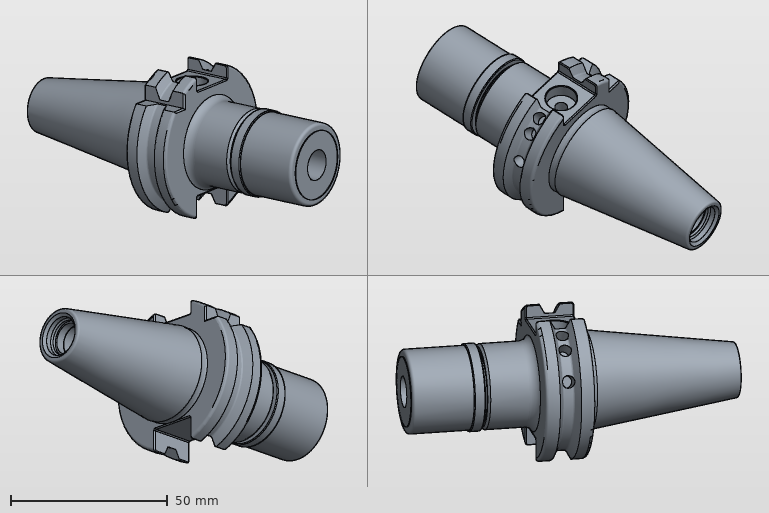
import cadquery as cq
import math


taper_length = 47.8
taper_ratio = 7 / 24 / 2
gauge_radius = 31.75 / 2
taper_overrun = 0.6
small_end_radius = gauge_radius - taper_length * taper_ratio
large_end_radius = gauge_radius + taper_overrun * taper_ratio
small_end_fillet = 0.75

relief_radius = 15.75
relief_start = 1.5
relief_end = 2.55
relief_corner_radius = 15.9

flange_start = 3.2
flange_width = 15.9
flange_end = flange_start + flange_width
flange_radius = 25.0
flange_fillet = 1.0
cut_clearance = 1.0

groove_center = flange_start + 7.9
groove_depth = 3.0
groove_half_width = 3.45
groove_side_angle = 30
groove_fillet = 0.6

slot_half_width = 8.05
upper_slot_floor = 19.0
lower_slot_floor = 16.2
slot_corner_chamfer = 0.4
slot_edge_chamfer = 0.4
notch_side = 15.0
notch_floor = 15.0
notch_edge_chamfer = 0.5

chip_diameter = 10.0
chip_depth = 4.6
chip_edge_chamfer = 0.25
drain_diameter = 4.1

balance_diameter = 4.0
balance_depth = 5.0
balance_angles = (30, 45, 72)

shank_radius = 13.8
shank_start = 22.1
shank_end = 35.7
shank_chamfer = 0.8
shank_root_radius = 3.5
neck_radius = 12.0

bore_radius = 5.0
pull_stud_mouth_radius = 7.4
pull_stud_mouth_depth = 0.9
pull_stud_radius = 6.4
pull_stud_depth = 2.7
lead_in_radius = 5.8
lead_in_start = 3.2
lead_in_end = 4.2
thread_radius = 5.15
thread_end = 7.2

nut_start = 36.55
nut_end = 60.4
nut_radius = 13.6
nut_fillet = 1.0
nut_face_radius = 11.3
nut_face_height = 0.25
collar_radius = 14.1
collar_width = 3.7
collar_chamfer = 0.3


def revolve_about_x(profile):
    return profile.close().revolve(360, (0, 0, 0), (1, 0, 0))


def taper_and_relief():
    taper = (
        cq.Workplane("XY")
        .moveTo(-taper_length, 0)
        .lineTo(-taper_length, small_end_radius)
        .lineTo(taper_overrun, large_end_radius)
        .lineTo(relief_start, relief_radius)
        .lineTo(relief_end, relief_radius)
        .lineTo(flange_start, relief_corner_radius)
        .lineTo(flange_start, 0)
    )
    return revolve_about_x(taper).faces("<X").edges().fillet(small_end_fillet)


def drive_slot(floor, side):
    """Tool for one drive slot; side is +1 above the axis and -1 below it."""
    height = flange_radius + cut_clearance - floor
    tool = (
        cq.Workplane("XY")
        .box(flange_width, 2 * slot_half_width, height, centered=(False, True, False))
        .translate((flange_start, 0, floor))
    )
    tool = tool.edges("|X and <Z").chamfer(slot_corner_chamfer)
    return tool if side > 0 else tool.mirror("XY")


def notch():
    """Tool for the corner notch, flared at both ends to chamfer its edges on the flange faces."""
    size = flange_radius
    center_y = -notch_side - size / 2
    center_z = notch_floor + size / 2
    flared_size = size + 2 * notch_edge_chamfer
    corner = cq.Workplane("YZ").center(center_y, center_z)
    tool = corner.rect(size, size).extrude(flange_width)
    flare = corner.rect(flared_size, flared_size).extrude(notch_edge_chamfer, taper=45)
    far_flare = flare.mirror("YZ").translate((flange_width, 0, 0))
    return tool.union(flare).union(far_flare).translate((flange_start, 0, 0))


def rim_edges(body, y_range, z_range):
    """Select the outer rim of the cut whose faces lie inside the given Y and Z ranges."""
    margin = 0.05
    low_corner = (flange_start - margin, y_range[0] - margin, z_range[0] - margin)
    high_corner = (flange_end + margin, y_range[1] + margin, z_range[1] + margin)
    cut_faces = body.faces(cq.selectors.BoxSelector(low_corner, high_corner, boundingbox=True)).vals()
    all_edges = [edge for face in cut_faces for edge in face.Edges()]
    rim = [edge for edge in all_edges if sum(edge.isSame(other) for other in all_edges) == 1]
    return body.newObject(rim)


def v_groove():
    bottom_half_width = groove_half_width - groove_depth * math.tan(math.radians(groove_side_angle))
    bottom_radius = flange_radius - groove_depth
    outside_radius = flange_radius + cut_clearance
    section = (
        cq.Workplane("XY")
        .moveTo(groove_center - groove_half_width, flange_radius)
        .lineTo(groove_center - bottom_half_width, bottom_radius)
        .lineTo(groove_center + bottom_half_width, bottom_radius)
        .lineTo(groove_center + groove_half_width, flange_radius)
        .lineTo(groove_center + groove_half_width, outside_radius)
        .lineTo(groove_center - groove_half_width, outside_radius)
    )
    floor_edges = cq.selectors.RadiusNthSelector(0)
    return revolve_about_x(section).edges(floor_edges).fillet(groove_fillet)


def balance_holes():
    floor_radius = flange_radius - groove_depth
    holes = cq.Workplane("XY")
    for angle in balance_angles:
        hole = (
            cq.Workplane("XY")
            .circle(balance_diameter / 2)
            .extrude(balance_depth + groove_depth)
            .translate((groove_center, 0, floor_radius - balance_depth))
            .rotate((0, 0, 0), (1, 0, 0), -angle)
        )
        holes = holes.add(hole)
    return holes.combine()


def drive_flange():
    disk = (
        cq.Workplane("YZ")
        .workplane(offset=flange_start)
        .circle(flange_radius)
        .extrude(flange_width)
        .edges()
        .fillet(flange_fillet)
    )
    body = disk.cut(drive_slot(upper_slot_floor, 1)).cut(drive_slot(lower_slot_floor, -1))

    slot_top = math.sqrt(flange_radius**2 - slot_half_width**2)
    slot_sides = (-slot_half_width, slot_half_width)
    for low, high in ((upper_slot_floor, slot_top), (-slot_top, -lower_slot_floor)):
        body = rim_edges(body, slot_sides, (low, high)).chamfer(slot_edge_chamfer)
    return body.cut(notch()).cut(v_groove()).cut(balance_holes())


def shank():
    root_length = shank_start - flange_end
    arc_center_radius = shank_radius + shank_root_radius
    root_start_radius = arc_center_radius - math.sqrt(shank_root_radius**2 - root_length**2)
    half_sweep = math.asin(root_length / shank_root_radius) / 2
    root_mid_x = shank_start - shank_root_radius * math.sin(half_sweep)
    root_mid_radius = arc_center_radius - shank_root_radius * math.cos(half_sweep)
    profile = (
        cq.Workplane("XY")
        .moveTo(flange_end, 0)
        .lineTo(flange_end, root_start_radius)
        .threePointArc((root_mid_x, root_mid_radius), (shank_start, shank_radius))
        .lineTo(shank_end - shank_chamfer, shank_radius)
        .lineTo(shank_end, shank_radius - shank_chamfer)
        .lineTo(shank_end, neck_radius)
        .lineTo(nut_start, neck_radius)
        .lineTo(nut_start, 0)
    )
    return revolve_about_x(profile)


def bore():
    mouth = -taper_length
    profile = (
        cq.Workplane("XY")
        .moveTo(mouth, 0)
        .lineTo(mouth, pull_stud_mouth_radius)
        .lineTo(mouth + pull_stud_mouth_depth, pull_stud_radius)
        .lineTo(mouth + pull_stud_depth, pull_stud_radius)
        .lineTo(mouth + lead_in_start, lead_in_radius)
        .lineTo(mouth + lead_in_end, lead_in_radius)
        .lineTo(mouth + lead_in_end, thread_radius)
        .lineTo(mouth + thread_end, thread_radius)
        .lineTo(mouth + thread_end, bore_radius)
        .lineTo(nut_end, bore_radius)
        .lineTo(nut_end, 0)
    )
    return revolve_about_x(profile)


def chip_pocket():
    mouth = cq.Workplane("XY").workplane(offset=upper_slot_floor).center(groove_center, 0)
    pocket = mouth.circle(chip_diameter / 2).extrude(-chip_depth)
    rim = cq.Solid.makeCone(
        chip_diameter / 2,
        chip_diameter / 2 + chip_edge_chamfer,
        chip_edge_chamfer,
        cq.Vector(groove_center, 0, upper_slot_floor - chip_edge_chamfer),
    )
    drain = mouth.circle(drain_diameter / 2).extrude(-upper_slot_floor)
    return pocket.union(cq.Workplane(rim)).union(drain)


def tool_holder():
    body = taper_and_relief().union(drive_flange()).union(shank())
    return body.cut(chip_pocket()).cut(bore())


def clamping_nut():
    collar_end = nut_start + collar_width
    nut_face = nut_end - nut_face_height
    profile = (
        cq.Workplane("XY")
        .moveTo(nut_start, bore_radius)
        .lineTo(nut_start, collar_radius - collar_chamfer)
        .lineTo(nut_start + collar_chamfer, collar_radius)
        .lineTo(collar_end - collar_chamfer, collar_radius)
        .lineTo(collar_end, collar_radius - collar_chamfer)
        .lineTo(collar_end, nut_radius)
        .lineTo(nut_face - nut_fillet, nut_radius)
        .radiusArc((nut_face, nut_radius - nut_fillet), nut_fillet)
        .lineTo(nut_face, nut_face_radius)
        .lineTo(nut_end, nut_face_radius)
        .lineTo(nut_end, bore_radius)
    )
    return revolve_about_x(profile)


holder = tool_holder()
nut = clamping_nut()

result = cq.Compound.makeCompound([holder.val(), nut.val()])